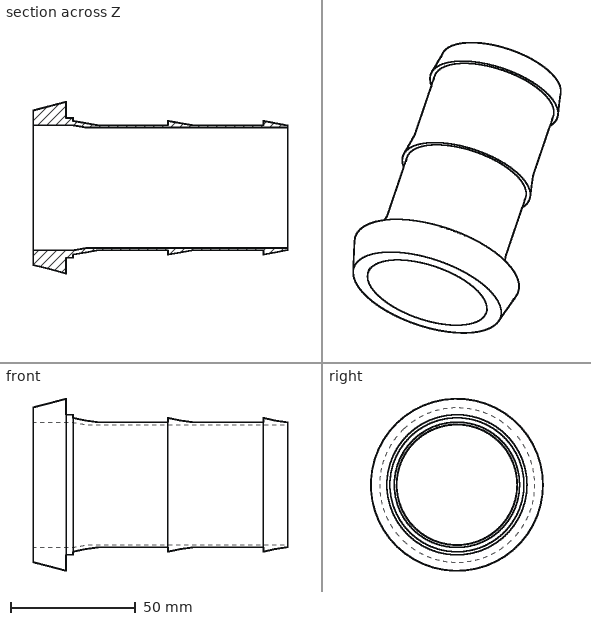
import cadquery as cq

length = 102.0

flange_width = 13.3
flange_face_radius = 31.0
flange_rim_radius = 34.5
collar_width = 2.8
collar_radius = 28.0

tail_radius = 25.1
barb_radius = 26.8
barb_width = 10.0
barb_start = 54.0
end_barb_start = 92.2
end_land = 0.7

entry_radius = 25.0
bore_radius = 24.1
entry_depth = 16.0
cone_length = 5.3

collar_end = flange_width + collar_width

outer_profile = [
    (0, flange_face_radius),
    (flange_width, flange_rim_radius),
    (flange_width, collar_radius),
    (collar_end, collar_radius),
    (collar_end, barb_radius),
    (collar_end + barb_width, tail_radius),
    (barb_start, tail_radius),
    (barb_start, barb_radius),
    (barb_start + barb_width, tail_radius),
    (end_barb_start, tail_radius),
    (end_barb_start, barb_radius),
    (length - end_land, tail_radius),
    (length, tail_radius),
]

bore_profile = [
    (length, bore_radius),
    (entry_depth + cone_length, bore_radius),
    (entry_depth, entry_radius),
    (0, entry_radius),
]

result = (
    cq.Workplane("XY")
    .polyline(outer_profile + bore_profile)
    .close()
    .revolve(360, (0, 0, 0), (1, 0, 0))
)